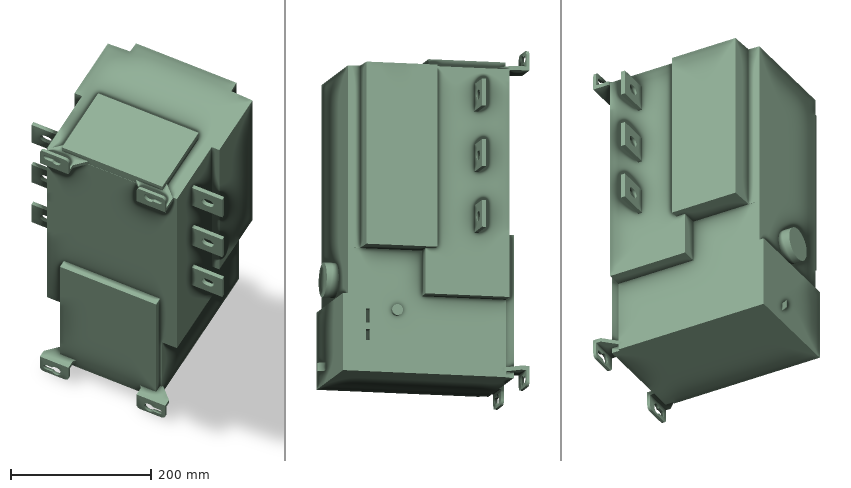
import cadquery as cq

TOTAL_HEIGHT = 486.0
TOTAL_DEPTH = 278.9

FLANGE_THICKNESS = 4.6
ARM_THICKNESS = 6.0
FOOT_HEIGHT = 29.0
FOOT_OUTER_X = 100.5
FOOT_INNER_X = 54.5
FOOT_CORNER = 6.5
KEYHOLE_EDGE_DISTANCE = 11.0
KEYHOLE_DIAMETER = 15.5
KEYHOLE_X = 74.6
KEYHOLE_SLOT_WIDTH = 9.0
KEYHOLE_SLOT_END_X = 95.0
TOP_FOOT_OUTER_BEND_Y = 24.0
TOP_FOOT_INNER_BEND_Y = 13.4
BOTTOM_FOOT_OUTER_BEND_Y = 12.0
BOTTOM_FOOT_INNER_BEND_Y = 14.0
FOOT_REACH = 22.0

MAIN_HALF_WIDTH = 104.0
MAIN_FRONT_Y = 29.7
MAIN_BACK_Y = 153.0
MAIN_BOTTOM_Z = 127.0
MAIN_TOP_Z = TOTAL_HEIGHT - FOOT_HEIGHT

CORE_HALF_WIDTH = 80.5
CORE_BACK_Y = 261.3
CORE_BOTTOM_Z = 15.0
DRIVE_BACK_Y = 268.5

WIDE_HALF_WIDTH = 116.0
WIDE_FRONT_Y = 138.5
WIDE_BACK_Y = 242.5
WIDE_BOTTOM_Z = 193.0
WIDE_INNER_BACK_Y = 244.0
RIDGE_HALF_WIDTH = 81.2
RIDGE_BACK_Y = 259.0

CAP_FRONT_Y = 30.0
CAP_BACK_Y = 143.2
CAP_TOP_Z = 471.0
PLATE_HALF_WIDTH = 77.0
PLATE_FRONT_Y = 17.3
PLATE_TOP_Z = 222.0

TERMINAL_TIP_X = 153.0
TERMINAL_HEIGHT = 39.0
TERMINAL_FRONT_Y = 76.0
TERMINAL_THICKNESS = 6.0
TERMINAL_PITCH = 88.0
TERMINAL_MIDDLE_Z = 325.4
TERMINAL_SLOT_X = 129.5
TERMINAL_SLOT_LENGTH = 19.0
TERMINAL_SLOT_WIDTH = 13.5

KNOB_DIAMETER = 50.0
KNOB_Z = 159.6
BUTTON_DIAMETER = 16.0
BUTTON_LENGTH = 6.5
BUTTON_Y = 190.0
BUTTON_Z = 105.0
WINDOW_FRONT_Y = 229.0
WINDOW_WIDTH = 5.5
WINDOW_DEPTH = 10.0
WINDOW_SPANS = ((85.5, 106.0), (60.0, 76.0))
LEVER_BOTTOM_Z = 33.0
LEVER_TOP_Z = 45.0
LEVER_ROOT_X = 26.0
LEVER_TIP_X = 31.5
LEVER_THICKNESS = 2.0


def block(half_width, y_front, y_back, z_bottom, z_top):
    """Box centred on X = 0 between the given Y and Z limits."""
    size = (2 * half_width, y_back - y_front, z_top - z_bottom)
    return cq.Workplane("XY").box(*size, centered=False).translate((-half_width, y_front, z_bottom))


def both_sides(left):
    """A left-hand (-X) feature together with its mirror image."""
    return left.union(left.mirror("YZ"))


def rear_block():
    """Wide rear block with a narrow ridge standing on its sloping back."""
    outline = [
        (-WIDE_HALF_WIDTH, WIDE_FRONT_Y),
        (-WIDE_HALF_WIDTH, WIDE_BACK_Y),
        (-RIDGE_HALF_WIDTH, WIDE_INNER_BACK_Y),
        (-CORE_HALF_WIDTH, RIDGE_BACK_Y),
        (CORE_HALF_WIDTH, RIDGE_BACK_Y),
        (RIDGE_HALF_WIDTH, WIDE_INNER_BACK_Y),
        (WIDE_HALF_WIDTH, WIDE_BACK_Y),
        (WIDE_HALF_WIDTH, WIDE_FRONT_Y),
    ]
    prism = cq.Workplane("XY").workplane(offset=WIDE_BOTTOM_Z).polyline(outline).close()
    return prism.extrude(MAIN_TOP_Z - WIDE_BOTTOM_Z)


def housing():
    """Main housing, core, drive box, rear block and the two raised plates."""
    body = block(MAIN_HALF_WIDTH, MAIN_FRONT_Y, MAIN_BACK_Y, MAIN_BOTTOM_Z, MAIN_TOP_Z)
    body = body.union(block(CORE_HALF_WIDTH, MAIN_FRONT_Y, CORE_BACK_Y, CORE_BOTTOM_Z, MAIN_TOP_Z))
    body = body.union(block(CORE_HALF_WIDTH, MAIN_FRONT_Y, DRIVE_BACK_Y, CORE_BOTTOM_Z, MAIN_BOTTOM_Z))
    body = body.union(rear_block())
    body = body.union(block(CORE_HALF_WIDTH, CAP_FRONT_Y, CAP_BACK_Y, MAIN_TOP_Z, CAP_TOP_Z))
    return body.union(block(PLATE_HALF_WIDTH, PLATE_FRONT_Y, MAIN_FRONT_Y, CORE_BOTTOM_Z, PLATE_TOP_Z))


def terminal(z):
    """Left terminal bar with a bolt slot, centred at height z."""
    length = TERMINAL_TIP_X - CORE_HALF_WIDTH
    bar = cq.Workplane("XY").box(length, TERMINAL_THICKNESS, TERMINAL_HEIGHT, centered=(False, False, True))
    bar = bar.translate((-TERMINAL_TIP_X, TERMINAL_FRONT_Y, z))
    slot = cq.Workplane("XZ").center(-TERMINAL_SLOT_X, z).slot2D(TERMINAL_SLOT_LENGTH, TERMINAL_SLOT_WIDTH)
    return bar.cut(slot.extrude(-MAIN_BACK_Y))


def foot(outer_bend_y, inner_bend_y):
    """Left top foot: upright flange with a keyhole and a 45 degree arm into the housing."""
    base_z = MAIN_TOP_Z
    width = FOOT_OUTER_X - FOOT_INNER_X
    flange = cq.Workplane("XY").box(width, FLANGE_THICKNESS, FOOT_HEIGHT, centered=False)
    flange = flange.edges("|Y and >Z").fillet(FOOT_CORNER)
    flange = flange.translate((-FOOT_OUTER_X, 0, base_z))
    arm_outline = [
        (-FOOT_OUTER_X, 0),
        (-FOOT_OUTER_X, outer_bend_y),
        (-FOOT_OUTER_X + FOOT_REACH, outer_bend_y + FOOT_REACH),
        (-FOOT_INNER_X + FOOT_REACH, inner_bend_y + FOOT_REACH),
        (-FOOT_INNER_X, inner_bend_y),
        (-FOOT_INNER_X, 0),
    ]
    arm = cq.Workplane("XY").workplane(offset=base_z).polyline(arm_outline).close().extrude(ARM_THICKNESS)
    keyhole_z = TOTAL_HEIGHT - KEYHOLE_EDGE_DISTANCE
    keyhole = cq.Workplane("XZ").center(-KEYHOLE_X, keyhole_z).circle(KEYHOLE_DIAMETER / 2)
    keyhole = keyhole.extrude(-FLANGE_THICKNESS)
    slot_length = KEYHOLE_SLOT_END_X - KEYHOLE_X + KEYHOLE_SLOT_WIDTH / 2
    slot_x = slot_length / 2 - KEYHOLE_SLOT_END_X
    slot = cq.Workplane("XZ").center(slot_x, keyhole_z).slot2D(slot_length, KEYHOLE_SLOT_WIDTH)
    return flange.union(arm).cut(keyhole).cut(slot.extrude(-FLANGE_THICKNESS))


def bottom_foot():
    """Left bottom foot: the top foot turned upside down, with its own arm bends."""
    upright = foot(BOTTOM_FOOT_OUTER_BEND_Y, BOTTOM_FOOT_INNER_BEND_Y)
    return upright.mirror("XY").translate((0, 0, TOTAL_HEIGHT))


def knob():
    """Round knob on the back of the core."""
    disc = cq.Workplane("XZ").center(0, KNOB_Z).circle(KNOB_DIAMETER / 2).extrude(CORE_BACK_Y - TOTAL_DEPTH)
    return disc.translate((0, CORE_BACK_Y, 0))


def button():
    """Push button on the left side of the drive box."""
    disc = cq.Workplane("YZ").center(BUTTON_Y, BUTTON_Z).circle(BUTTON_DIAMETER / 2).extrude(-BUTTON_LENGTH)
    return disc.translate((-CORE_HALF_WIDTH, 0, 0))


def lever():
    """Thin slanted lever on the back of the drive box."""
    outline = [
        (LEVER_ROOT_X, DRIVE_BACK_Y),
        (LEVER_TIP_X, TOTAL_DEPTH),
        (LEVER_TIP_X + LEVER_THICKNESS, TOTAL_DEPTH),
        (LEVER_ROOT_X + LEVER_THICKNESS, DRIVE_BACK_Y),
    ]
    prism = cq.Workplane("XY").workplane(offset=LEVER_BOTTOM_Z).polyline(outline).close()
    return prism.extrude(LEVER_TOP_Z - LEVER_BOTTOM_Z)


def window(z_bottom, z_top):
    """Window recess in the left side of the drive box."""
    recess = cq.Workplane("XY").box(WINDOW_DEPTH, WINDOW_WIDTH, z_top - z_bottom, centered=False)
    return recess.translate((-CORE_HALF_WIDTH, WINDOW_FRONT_Y, z_bottom))


result = housing()
for row in (-1, 0, 1):
    result = result.union(both_sides(terminal(TERMINAL_MIDDLE_Z + row * TERMINAL_PITCH)))
result = result.union(both_sides(foot(TOP_FOOT_OUTER_BEND_Y, TOP_FOOT_INNER_BEND_Y)))
result = result.union(both_sides(bottom_foot()))
for control in (knob(), button(), lever()):
    result = result.union(control)
for z_bottom, z_top in WINDOW_SPANS:
    result = result.cut(window(z_bottom, z_top))